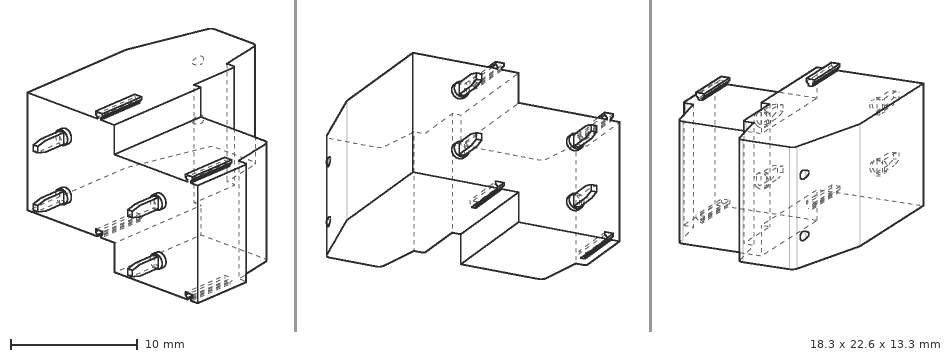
import cadquery as cq
import math

overall_width = 18.3
overall_length = 22.6
overall_height = 13.27

pitch = 5.08
block_height = 10.15
block_offset = pitch / 2

pin_length = 3.45
tall_length = overall_length - pin_length
tall_ledge_y = 14.85
flank_start_y = 11.45
flank_angle = math.radians(15)
flank_top_x = (tall_length - flank_start_y) * math.tan(flank_angle)
tall_front_x = 8.6

block_split_x = 9.35
low_length = 10.03
low_ledge_y = 5.76

ledge_depth = 0.93
nose_setback = 0.75
nose_fillet = 0.5
ledge_fillet = 0.23

rib_centers_x = (7.7, 17.38)
rib_length = 4.55
rib_height = overall_height - block_offset - block_height
rib_width = 0.75
neck_width = 0.36
neck_height = 0.14
rib_head_height = 0.23

tall_pin_x = 4.1
low_pin_x = tall_pin_x + 2 * pitch
collar_diameter = 1.3
collar_length = 0.45
pin_thickness = 0.47
pin_width = 1.0
pin_tip_width = 0.55
pin_taper_length = 0.9

bump_radius = 0.5
bump_x = 1.58 + bump_radius
bump_y = 17.97
bump_shank_length = 1.13


def tall_block():
    """Terminal block with a slanted flank and a stepped nose."""
    ledge_x = tall_front_x - ledge_depth
    nose_x = ledge_x - nose_setback
    outline = [
        (0, 0),
        (block_split_x, 0),
        (block_split_x, low_length),
        (tall_front_x, low_length),
        (tall_front_x, tall_ledge_y),
        (ledge_x, tall_ledge_y),
        (nose_x, tall_length),
        (flank_top_x, tall_length),
        (0, flank_start_y),
    ]
    block = cq.Workplane("XY").workplane(offset=block_offset).polyline(outline).close().extrude(block_height)
    block = block.faces(">Y").edges("|Z").fillet(nose_fillet)
    return round_ledge(block, tall_front_x, tall_ledge_y)


def low_block():
    """Shorter terminal block with the same stepped nose."""
    ledge_x = overall_width - ledge_depth
    nose_x = ledge_x - nose_setback
    outline = [
        (block_split_x, 0),
        (overall_width, 0),
        (overall_width, low_ledge_y),
        (ledge_x, low_ledge_y),
        (nose_x, low_length),
        (block_split_x, low_length),
    ]
    block = cq.Workplane("XY").polyline(outline).close().extrude(block_height)
    block = block.faces(">Y").edges("|Z").edges(">X").fillet(nose_fillet)
    return round_ledge(block, overall_width, low_ledge_y)


def round_ledge(block, corner_x, corner_y):
    """Round the outer corner of the ledge below the nose."""
    corner = cq.selectors.NearestToPointSelector((corner_x, corner_y, block_height / 2))
    return block.edges("|Z").edges(corner).fillet(ledge_fillet)


def dovetail(center_x, base_z):
    """Dovetail bar standing on height base_z and running back from the pin face."""
    half_head = rib_width / 2
    half_neck = neck_width / 2
    head_z = rib_height - rib_head_height
    profile = [
        (-half_neck, 0),
        (half_neck, 0),
        (half_neck, neck_height),
        (half_head, head_z),
        (half_head, rib_height),
        (-half_head, rib_height),
        (-half_head, head_z),
        (-half_neck, neck_height),
    ]
    face = cq.Workplane("XZ", origin=(center_x, 0, base_z)).polyline(profile).close()
    return face.extrude(-rib_length)


def solder_pin(x, z):
    """Round collar carrying a flat blade that tapers to its tip."""
    collar = cq.Workplane("XZ", origin=(x, 0, z)).circle(collar_diameter / 2).extrude(collar_length)
    taper_start = pin_taper_length - pin_length
    blade_outline = [
        (0, -pin_width / 2),
        (taper_start, -pin_width / 2),
        (-pin_length, -pin_tip_width / 2),
        (-pin_length, pin_tip_width / 2),
        (taper_start, pin_width / 2),
        (0, pin_width / 2),
    ]
    blade = cq.Workplane("YZ", origin=(x, 0, z)).polyline(blade_outline).close()
    return collar.union(blade.extrude(pin_thickness / 2, both=True))


def flank_bump(z):
    """Cylinder along Y with a spherical end, mostly sunk into the slanted flank."""
    shank = cq.Workplane("XZ", origin=(bump_x, bump_y, z)).circle(bump_radius).extrude(bump_shank_length)
    dome = cq.Workplane("XY", origin=(bump_x, bump_y, z)).sphere(bump_radius)
    return shank.union(dome)


result = tall_block().union(low_block())

for rib_x, block_bottom in zip(rib_centers_x, (block_offset, 0)):
    result = result.cut(dovetail(rib_x, block_bottom))
    result = result.union(dovetail(rib_x, block_bottom + block_height))

for pin_x, block_bottom in ((tall_pin_x, block_offset), (low_pin_x, 0)):
    for row in range(2):
        result = result.union(solder_pin(pin_x, block_bottom + (row + 0.5) * pitch))

for row in range(2):
    result = result.union(flank_bump(block_offset + (row + 0.5) * pitch))